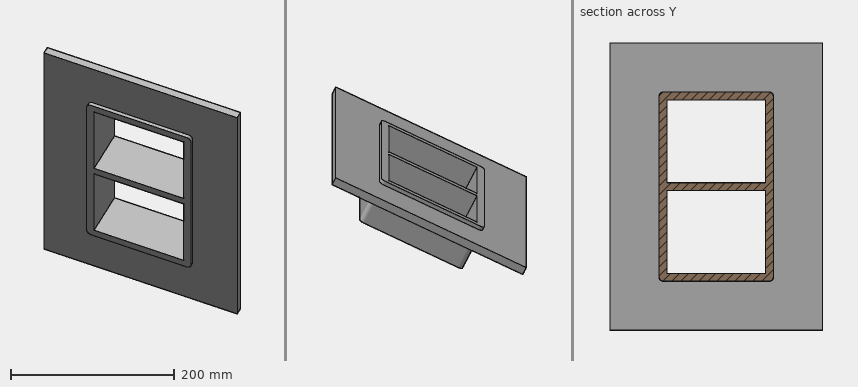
import cadquery as cq

opening_width = 120.5
opening_height = 101.0
opening_count = 2

wall = 10.0
sleeve_depth = 60.0
sleeve_corner_radius = 6.0
sleeve_width = opening_width + 2 * wall
sleeve_height = opening_count * opening_height + (opening_count + 1) * wall

flange_margin = 60.0
flange_thickness = 10.0
front_lip = 5.0
flange_width = sleeve_width + 2 * flange_margin
flange_height = sleeve_height + 2 * flange_margin

opening_pitch = opening_height + wall


def block_along_y(width, height, depth, front_y):
    """Box centred on X and Z, reaching from front_y towards +Y."""
    return cq.Workplane("XY").box(width, depth, height, centered=(True, False, True)).translate((0, front_y, 0))


def make_sleeve():
    """Solid sleeve body with its four long edges rounded."""
    body = block_along_y(sleeve_width, sleeve_height, sleeve_depth, 0)
    return body.edges("|Y").fillet(sleeve_corner_radius)


def make_flange():
    return block_along_y(flange_width, flange_height, flange_thickness, front_lip)


def cut_openings(body):
    """Cut the row of openings, leaving one wall thickness between neighbours."""
    lowest_z = -opening_pitch * (opening_count - 1) / 2
    opening = block_along_y(opening_width, opening_height, sleeve_depth, 0)
    for index in range(opening_count):
        body = body.cut(opening.translate((0, 0, lowest_z + index * opening_pitch)))
    return body


result = cut_openings(make_sleeve().union(make_flange()))